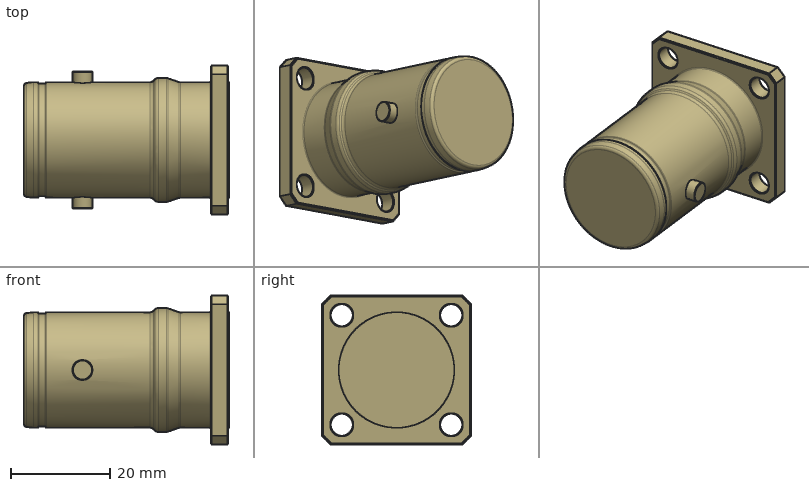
import cadquery as cq

total_length = 41.45
barrel_radius = 11.65

nose_face_radius = 10.77
nose_round_length = 0.5
nose_crown_end = 1.95
nose_crown_rise = 0.15
nose_round_radius = 0.75

groove_start = 2.8
groove_end = 4.55
groove_round = 0.12
groove_depth = 2 * groove_round

collar_radius = 12.5
collar_start = 25.85
collar_top_start = collar_start + collar_radius - barrel_radius
collar_top_end = 28.85
collar_end = 31.35
collar_round = 1.0

flange_width = 30.0
flange_front = 37.65
flange_back = 41.22
flange_corner_chamfer = 1.75
flange_edge_chamfer = 0.25
flange_root_fillet = 0.15

hole_diameter = 4.4
hole_offset = 11.0
hole_chamfer = 0.15

pin_x = 11.85
pin_diameter = 4.05
pin_tip_y = 13.8
pin_tip_chamfer = 0.12

position_tolerance = 0.005


def make_barrel():
    """Revolve the barrel outline, with nose, groove and collar, about the X axis."""
    crown_length = nose_crown_end - nose_round_length
    crown_arc_radius = (crown_length**2 + nose_crown_rise**2) / (2 * nose_crown_rise)
    groove_mid_radius = barrel_radius - groove_round
    groove_floor_radius = barrel_radius - groove_depth
    profile = (
        cq.Workplane("XY")
        .lineTo(0, nose_face_radius)
        .radiusArc((nose_round_length, barrel_radius - nose_crown_rise), nose_round_radius)
        .radiusArc((nose_crown_end, barrel_radius), crown_arc_radius)
        .lineTo(groove_start, barrel_radius)
        .radiusArc((groove_start + groove_round, groove_mid_radius), groove_round)
        .radiusArc((groove_start + 2 * groove_round, groove_floor_radius), -groove_round)
        .lineTo(groove_end - 2 * groove_round, groove_floor_radius)
        .radiusArc((groove_end - groove_round, groove_mid_radius), -groove_round)
        .radiusArc((groove_end, barrel_radius), groove_round)
        .lineTo(collar_start, barrel_radius)
        .lineTo(collar_top_start, collar_radius)
        .lineTo(collar_top_end, collar_radius)
        .lineTo(collar_end, barrel_radius)
        .lineTo(total_length, barrel_radius)
        .lineTo(total_length, 0)
        .close()
    )
    return profile.revolve(360, (0, 0, 0), (1, 0, 0))


def round_rings(body, ring_positions, radius):
    """Fillet the circular barrel edges lying at the given X positions."""

    def is_chosen_ring(edge):
        box = edge.BoundingBox()
        is_flat = box.xlen < position_tolerance
        on_barrel = box.zlen <= 2 * collar_radius + position_tolerance
        is_centered = abs(box.center.z) < position_tolerance
        at_position = any(abs(box.center.x - x) < position_tolerance for x in ring_positions)
        is_circle = edge.geomType() == "CIRCLE"
        return is_circle and is_flat and on_barrel and is_centered and at_position

    return body.newObject(body.edges().filter(is_chosen_ring).vals()).fillet(radius)


def make_flange():
    """Square plate with cut corners, beveled rims and four beveled mounting holes."""
    plate = (
        cq.Workplane("YZ", origin=(flange_front, 0, 0))
        .rect(flange_width, flange_width)
        .extrude(flange_back - flange_front)
        .edges("|X")
        .chamfer(flange_corner_chamfer)
        .faces("<X or >X")
        .chamfer(flange_edge_chamfer)
    )
    drilled_plate = (
        plate.faces("<X")
        .workplane()
        .rect(2 * hole_offset, 2 * hole_offset, forConstruction=True)
        .vertices()
        .hole(hole_diameter)
    )
    return drilled_plate.faces("<X or >X").edges("%CIRCLE").chamfer(hole_chamfer)


def make_pins():
    """One pin through the barrel axis, standing out along -Y and +Y."""
    return (
        cq.Workplane("XZ", origin=(pin_x, 0, 0))
        .circle(pin_diameter / 2)
        .extrude(pin_tip_y, both=True)
        .faces("<Y or >Y")
        .chamfer(pin_tip_chamfer)
    )


collar_rings = (collar_start, collar_top_start, collar_top_end, collar_end)
barrel = round_rings(make_barrel(), collar_rings, collar_round)
shell = barrel.union(make_flange())
shell = round_rings(shell, (flange_front,), flange_root_fillet)
result = shell.union(make_pins())